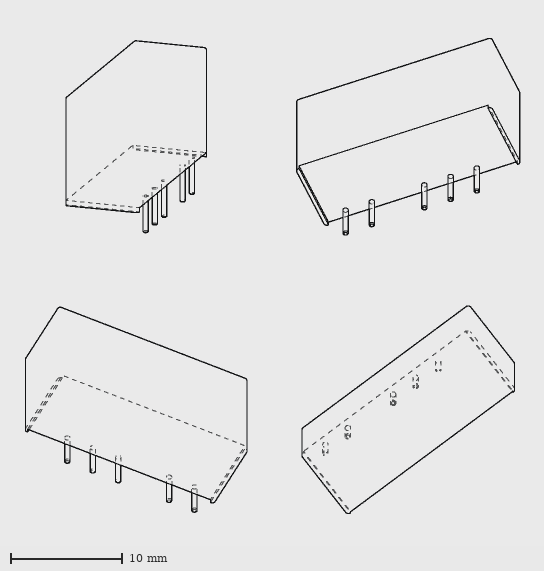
import cadquery as cq

case_width = 7.0
case_length = 19.0
case_height = 10.2
edge_radius = 0.3

foot_height = 0.4
foot_length = 0.35

overall_height = 13.2
pin_diameter = 0.5
pin_chamfer = 0.1
pin_row_x = 2.8
pin_pitch = 2.55
first_pin_y = -5.51
pin_slots = (0, 1, 2, 4, 5)


def make_case():
    """Block with rounded upright and top edges and a channel between the feet."""
    on_base = (True, True, False)
    block = cq.Workplane("XY").box(case_width, case_length, case_height, centered=on_base)
    block = block.edges("|Z or >Z").fillet(edge_radius)
    channel_length = case_length - 2 * foot_length
    channel = cq.Workplane("XY").box(case_width, channel_length, foot_height, centered=on_base)
    return block.cut(channel)


def make_pin(y):
    """Pin hanging from the channel floor, with a chamfered tip."""
    tip_z = case_height - overall_height
    pin = (
        cq.Workplane("XY", origin=(pin_row_x, y, tip_z))
        .circle(pin_diameter / 2)
        .extrude(foot_height - tip_z)
    )
    return pin.faces("<Z").chamfer(pin_chamfer)


result = make_case()
for slot in pin_slots:
    result = result.union(make_pin(first_pin_y + slot * pin_pitch))